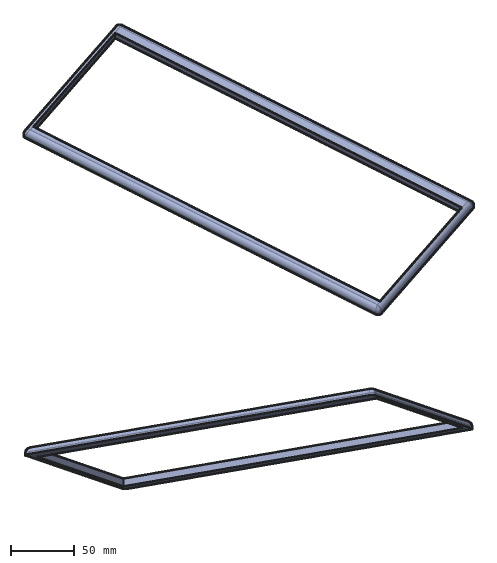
import cadquery as cq

length = 335.0
width = 136.5
height = 6.5

base_height = 1.75
edge_radius = height - base_height
corner_radius = 3.0

side_rail = 5.0
front_rail = 8.7
back_rail = 12.0


def outer_body():
    """Block with rounded corners and a rolled top edge."""
    block = cq.Workplane("XY").box(length, width, height, centered=(True, True, False))
    block = block.edges("|Z").fillet(corner_radius)
    return block.faces(">Z").edges().fillet(edge_radius)


def opening():
    """Rectangular through opening, set nearer the front because the back rail is wider."""
    opening_length = length - 2 * side_rail
    opening_width = width - front_rail - back_rail
    opening_center_y = (front_rail - back_rail) / 2
    return (
        cq.Workplane("XY")
        .center(0, opening_center_y)
        .rect(opening_length, opening_width)
        .extrude(height)
    )


result = outer_body().cut(opening())